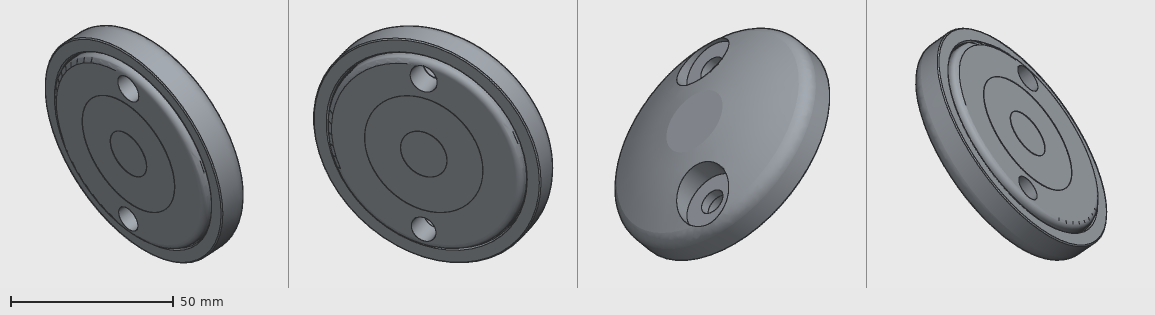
import cadquery as cq
import math

base_radius = 39.5
base_height = 17.9
dome_flat_radius = 11.2
dome_radius = 97.95
rim_fillet = 4.9
face_chamfer = 0.4

recess_radius = 34.45
recess_depth = 6.3
recess_chamfer = 0.5

pad_radius = 34.0
pad_projection = 2.05
pad_edge_radius = 2.0
groove_outer_radius = 20.55
groove_inner_radius = 8.05
groove_depth = 0.15

upper_hole_z = 27.65
lower_hole_z = -27.5
lower_hole_radius = 4.3
upper_base_hole_radius = 4.5
upper_pad_hole_radius = 4.7
counterbore_radius = 10.1
counterbore_floor = 9.5

pad_bottom = -pad_projection


def cylinder_y(radius, y_start, y_end, z=0.0):
    """Solid cylinder along Y between two Y positions, centred at X = 0."""
    plane = cq.Workplane("XZ", origin=(0, y_start, z))
    return plane.circle(radius).extrude(y_start - y_end)


def make_base():
    dome_center_y = base_height - math.sqrt(dome_radius**2 - dome_flat_radius**2)
    shoulder_y = dome_center_y + math.sqrt(dome_radius**2 - base_radius**2)
    arc_mid_radius = (dome_flat_radius + base_radius) / 2
    arc_mid_y = dome_center_y + math.sqrt(dome_radius**2 - arc_mid_radius**2)
    blank = (
        cq.Workplane("XY")
        .lineTo(base_radius, 0)
        .lineTo(base_radius, shoulder_y)
        .threePointArc((arc_mid_radius, arc_mid_y), (dome_flat_radius, base_height))
        .lineTo(0, base_height)
        .close()
        .revolve(360, (0, 0, 0), (0, 1, 0))
    )
    shoulder_edge = blank.edges(cq.selectors.RadiusNthSelector(1)).edges(">Y")
    base = shoulder_edge.fillet(rim_fillet)
    base = base.faces("<Y").edges().chamfer(face_chamfer)

    base = base.cut(cylinder_y(recess_radius, 0, recess_depth))
    mouth_edge = base.faces("<Y").edges(cq.selectors.RadiusNthSelector(0))
    base = mouth_edge.chamfer(recess_chamfer)

    for z, radius in ((upper_hole_z, upper_base_hole_radius), (lower_hole_z, lower_hole_radius)):
        base = base.cut(cylinder_y(radius, 0, base_height, z))
        base = base.cut(cylinder_y(counterbore_radius, counterbore_floor, base_height, z))
    return base


def make_pad():
    pad = cylinder_y(pad_radius, pad_bottom, recess_depth)
    pad = pad.faces("<Y").edges().fillet(pad_edge_radius)

    groove_top = pad_bottom + groove_depth
    groove = cylinder_y(groove_outer_radius, pad_bottom, groove_top)
    groove = groove.cut(cylinder_y(groove_inner_radius, pad_bottom, groove_top))
    pad = pad.cut(groove)

    for z, radius in ((upper_hole_z, upper_pad_hole_radius), (lower_hole_z, lower_hole_radius)):
        pad = pad.cut(cylinder_y(radius, pad_bottom, recess_depth, z))
    return pad


base = make_base()
pad = make_pad()
result = cq.Compound.makeCompound([base.val(), pad.val()])